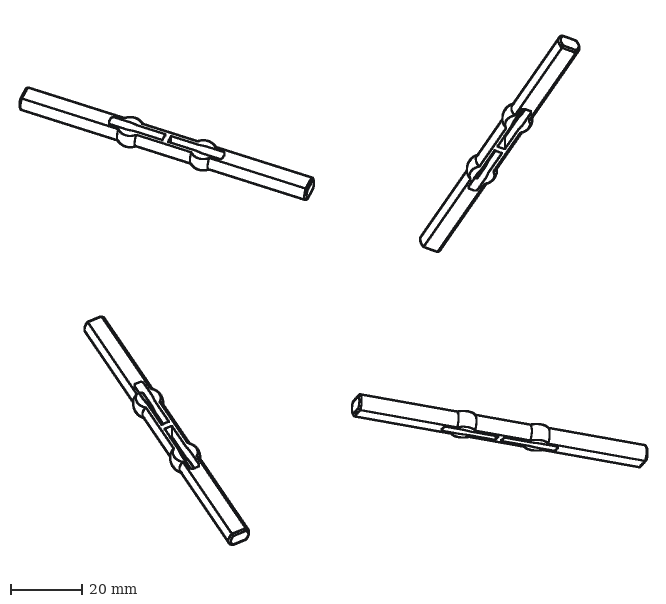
import cadquery as cq

LENGTH = 87.5
ROD_DIAMETER = 6.65
THICKNESS = 5.0
END_CHAMFER = 0.5

BULGE_DIAMETER = 8.6
BULGE_OFFSET = 11.1

BRIDGE_WIDTH = 1.75
SLOT_OUTER_END = 17.3
SLOT_WIDE_WIDTH = 2.8
SLOT_NARROW_WIDTH = 2.3
SLOT_CORNER_RADIUS = 0.8
TAPER_CENTER = 10.3
TAPER_LENGTH = 1.9


def make_flattened_rod():
    """Rod along X, cut flat above and below, with chamfered ends."""
    rod = cq.Workplane("YZ").circle(ROD_DIAMETER / 2).extrude(LENGTH / 2, both=True)
    flat_slab = cq.Workplane("XY").box(LENGTH, ROD_DIAMETER, THICKNESS)
    return rod.intersect(flat_slab).faces("<X or >X").chamfer(END_CHAMFER)


def make_bulge(x):
    """Sphere centred on the bar axis, trimmed to the bar thickness."""
    sphere = cq.Workplane("XY").sphere(BULGE_DIAMETER / 2)
    flat_slab = cq.Workplane("XY").box(BULGE_DIAMETER, BULGE_DIAMETER, THICKNESS)
    return sphere.intersect(flat_slab).translate((x, 0, 0))


def make_slot():
    """Cutter for the +X slot: narrow beside the bridge, tapering out to a wide, rounded end."""
    inner_end = BRIDGE_WIDTH / 2
    taper_start = TAPER_CENTER - TAPER_LENGTH / 2
    taper_end = TAPER_CENTER + TAPER_LENGTH / 2
    half_narrow = SLOT_NARROW_WIDTH / 2
    half_wide = SLOT_WIDE_WIDTH / 2
    outline = [
        (inner_end, -half_narrow),
        (taper_start, -half_narrow),
        (taper_end, -half_wide),
        (SLOT_OUTER_END, -half_wide),
        (SLOT_OUTER_END, half_wide),
        (taper_end, half_wide),
        (taper_start, half_narrow),
        (inner_end, half_narrow),
    ]
    slot = cq.Workplane("XY").polyline(outline).close().extrude(THICKNESS, both=True)
    return slot.faces(">X").edges("|Z").fillet(SLOT_CORNER_RADIUS)


bar = make_flattened_rod()
for side in (-1, 1):
    bar = bar.union(make_bulge(side * BULGE_OFFSET))

right_slot = make_slot()
left_slot = right_slot.mirror("YZ")
result = bar.cut(right_slot).cut(left_slot)